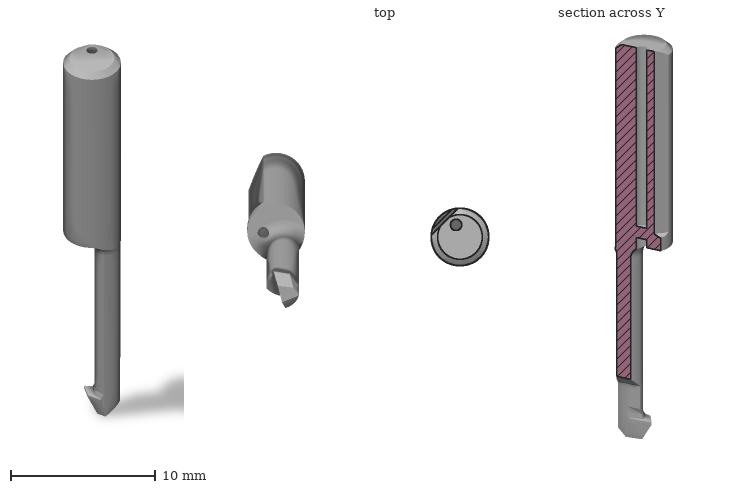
import cadquery as cq
import math

total_length = 30
shank_radius = 6 / 3
shank_bottom = 15
chamfer_radial = 0.45
chamfer_height = 0.4

flat_offset = 1.5
runout_offset = 1.75
flat_bottom = 16.2
runout_bottom = 16.02

hole_x, hole_y = -0.27, 0.85
hole_radius = 0.4
upper_bore_floor = 16.5
lower_bore_end = 15.6

outer_center = 0.63
outer_radius = shank_radius - outer_center
inner_center = 1.47
inner_radius = 1.23
flare_radius = 1.02

relief_y = 0.12
relief_start = 5.13
relief_end = 4.05
end_chamfer_x = 1.38
end_chamfer_height = 0.6

tip_top = 1.92
edge_bottom = 1.25
edge_top = 1.45
neck_bottom = 1.53
bottom_edge_x, bottom_corner_x = 0.18, 0.72
land_edge_x, land_corner_x = -0.57, 0.03
neck_edge_x, neck_corner_x = 0.05, 0.48
rake_y = -0.05
middle_y = -0.48
corner_y = -1.02
rake_end = 2.35
seat_bottom_x = 1.35
seat_notch_x = 1.08
seat_top_x = 1.25
margin = 1.5


def make_shank():
    """Chamfered cylinder with one clamping flat."""
    shank = cq.Workplane("XZ").polyline([
        (0, shank_bottom),
        (shank_radius, shank_bottom),
        (shank_radius, total_length - chamfer_height),
        (shank_radius - chamfer_radial, total_length),
        (0, total_length),
    ]).close().revolve(360, (0, 0, 0), (0, 1, 0))
    far = shank_radius + margin
    flat_cutter = cq.Workplane("XZ").polyline([
        (flat_offset, total_length + margin),
        (flat_offset, flat_bottom),
        (runout_offset, runout_bottom),
        (far, runout_bottom),
        (far, total_length + margin),
    ]).close().extrude(far, both=True)
    return shank.cut(flat_cutter.rotate((0, 0, 0), (0, 0, 1), 135))


def flared_rod(center, radius):
    """Round rod that widens through a concave fillet up to the shank."""
    flare_bottom = shank_bottom - flare_radius
    flare_edge = radius + flare_radius
    diagonal = flare_radius * math.sqrt(0.5)
    rod = (
        cq.Workplane("XZ").moveTo(0, 0).lineTo(radius, 0).lineTo(radius, flare_bottom)
        .threePointArc((flare_edge - diagonal, flare_bottom + diagonal), (flare_edge, shank_bottom))
        .lineTo(0, shank_bottom).close().revolve(360, (0, 0, 0), (0, 1, 0))
    )
    return rod.translate((center, 0, 0))


def make_bar():
    """Lens-section bar with its lower half-relief and end chamfer."""
    envelope = cq.Workplane("XY").circle(shank_radius).extrude(shank_bottom)
    bar = flared_rod(outer_center, outer_radius)
    bar = bar.intersect(flared_rod(inner_center, inner_radius)).intersect(envelope)
    slope_top_y = relief_y + relief_start - relief_end
    relief = cq.Workplane("YZ").polyline([
        (relief_y, -margin),
        (relief_y, relief_end),
        (slope_top_y, relief_start),
        (slope_top_y + margin, relief_start),
        (slope_top_y + margin, -margin),
    ]).close().extrude(2 * shank_radius, both=True)
    end_chamfer = cq.Workplane("XZ").polyline([
        (end_chamfer_x, 0),
        (shank_radius, end_chamfer_height),
        (shank_radius, 0),
    ]).close().extrude(shank_radius, both=True)
    return bar.cut(relief).cut(end_chamfer)


def make_bore(bottom, top):
    """Coolant bore between two heights."""
    bore = cq.Workplane("XY").center(hole_x, hole_y).circle(hole_radius).extrude(top - bottom)
    return bore.translate((0, 0, bottom))


def make_seat_pocket():
    """Space left of the tip seat, below the end of the inner arc."""
    return cq.Workplane("XZ").polyline([
        (seat_bottom_x, 0),
        (seat_notch_x, edge_top),
        (seat_top_x, tip_top),
        (-shank_radius, tip_top),
        (-shank_radius, 0),
    ]).close().extrude(shank_radius, both=True)


def seat_x(z):
    """X of the bent tip seat at height z."""
    if z <= edge_top:
        return seat_bottom_x + (seat_notch_x - seat_bottom_x) * z / edge_top
    return seat_notch_x + (seat_top_x - seat_notch_x) * (z - edge_top) / (tip_top - edge_top)


def outer_arc_y(x):
    """Y of the bar's outer arc on the -Y side."""
    return -math.sqrt(outer_radius ** 2 - (x - outer_center) ** 2)


def inner_arc_x(y):
    """X of the bar's inner arc."""
    return inner_center - math.sqrt(inner_radius ** 2 - y ** 2)


def flank_section(z, edge_x, corner_x):
    """Section with two straight flanks: cutting edge, corner, seat."""
    seat = seat_x(z)
    seat_y = outer_arc_y(seat)
    share = (middle_y - rake_y) / (corner_y - rake_y)
    middle_x = edge_x + share * (corner_x - edge_x)
    return [
        (edge_x, rake_y, z),
        (middle_x, middle_y, z),
        (corner_x, corner_y, z),
        (seat, seat_y, z),
        (seat, relief_y, z),
    ]


def ruled_solid(lower, upper):
    """Solid with straight sides between two sections of equal point count."""
    wires = [
        cq.Wire.makePolygon([cq.Vector(*point) for point in section], close=True)
        for section in (lower, upper)
    ]
    return cq.Workplane(obj=cq.Solid.makeLoft(wires, True))


def make_tip():
    """Cutting tip: leaning flanks, an upright edge land and a neck blending into the bar."""
    seat_top_y = outer_arc_y(seat_top_x)
    sections = [
        flank_section(0, bottom_edge_x, bottom_corner_x),
        flank_section(edge_bottom, land_edge_x, land_corner_x),
        flank_section(edge_top, land_edge_x, land_corner_x),
        flank_section(neck_bottom, neck_edge_x, neck_corner_x),
        [
            (inner_arc_x(rake_y), rake_y, tip_top),
            (inner_arc_x(middle_y), middle_y, tip_top),
            (inner_arc_x(corner_y), corner_y, tip_top),
            (seat_top_x, seat_top_y, tip_top),
            (seat_top_x, relief_y, tip_top),
        ],
    ]
    tip = ruled_solid(sections[0], sections[1])
    for lower, upper in zip(sections[1:], sections[2:]):
        tip = tip.union(ruled_solid(lower, upper))
    return tip


def make_rake_runout():
    """Wedge that fades the tip's sloping rake face into the bar's relief plane."""
    left_x = inner_arc_x(rake_y)
    wedge = cq.Workplane("YZ").polyline([
        (rake_y, tip_top),
        (relief_y, tip_top),
        (relief_y, rake_end),
    ]).close().extrude(seat_top_x - left_x).translate((left_x, 0, 0))
    rake_side = cq.Workplane("XY").workplane(offset=tip_top).polyline([
        (left_x, rake_y),
        (seat_top_x, relief_y),
        (left_x, relief_y),
    ]).close().extrude(rake_end - tip_top)
    return wedge.intersect(rake_side)


holder = make_shank().union(make_bar())
upper_bore = make_bore(upper_bore_floor, total_length + margin)
lower_bore = make_bore(shank_bottom - margin, lower_bore_end)
holder = holder.cut(upper_bore).cut(lower_bore).cut(make_seat_pocket()).cut(make_rake_runout())

cutting_tip = make_tip()

result = cq.Compound.makeCompound([holder.val(), cutting_tip.val()])